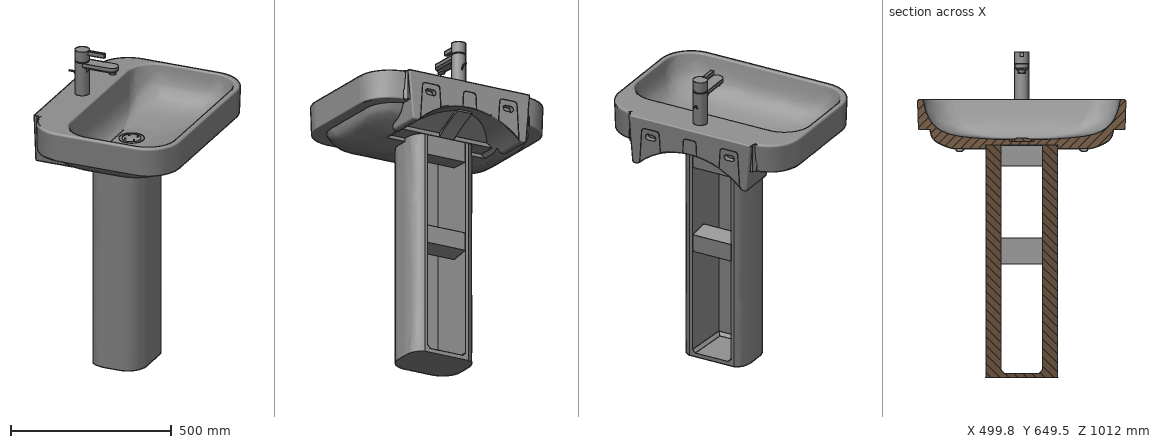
import cadquery as cq
import math


RIM_TOP = 864.0
RIM_BOTTOM = 770.0
RIM_BACK = 18.0
RIM_FRONT = 500.0
RIM_HALF_WIDTH = 325.0
RIM_CORNER_RADIUS = 109.0
RIM_DRAFT_ANGLE = 2
RIM_EDGE_FILLET = 7.0
RIM_UNDERSIDE_FILLET = 4.0

BLOCK_DEPTH = 121
BLOCK_BOTTOM = 702.0
BLOCK_TOP_HALF_WIDTH = 219.0
BLOCK_FOOT_OUTER = 204.0
BLOCK_FOOT_INNER = 186.0
BLOCK_FOOT_FILLET = 8.0
BLOCK_WALL_EDGE_FILLET = 4.0
COVE_BACK = 11.0
COVE_RADIUS = 10
ARCH_CROWN = 779
RIB_WIDTH = 53.0
RIB_CROWN = 773.0
RIB_START = 30
RIB_BEND_X = 71
RIB_BEND_Z = 758.0
RELIEF_START = 40
RELIEF_END_HEIGHT = 735.0

PANEL_DEPTH = 2.0
PANEL_TOP = 831.0
PANEL_CORNER_RADIUS = 10
SIDE_PANEL_TOP_SPAN = (109.0, 171.0)
SIDE_PANEL_FOOT_SPAN = (101, 179.0)
CENTER_PANEL_TOP_HALF_WIDTH = 22.0
CENTER_PANEL_FOOT_HALF_WIDTH = 28.0
SLOT_Y = 141.0
SLOT_Z = 804.0
SLOT_LENGTH = 36.0
SLOT_HEIGHT = 19.0
SLOT_DEPTH = 20

BOWL_OUTSIDE = [
    (RIM_BOTTOM, 48.0, 462.0, 285.0, 101),
    (743.0, 69.0, 443.0, 276.0, 101),
    (729, 89.0, 421.0, 259.0, 101),
    (717.0, 116.0, 364, 233, 91),
    (711.0, 142, 304, 202, 71),
]
BOWL_INSIDE = [
    (RIM_TOP, 128.0, 479.0, 306.0, 91),
    (800, 144.0, 454.0, 285.0, 91),
    (767.0, 158.0, 423.0, 253, 91),
    (751.0, 172, 381.0, 202, 81),
    (741.0, 187.0, 294, 81, 40),
]
BOWL_EDGE_FILLET = 6.0

DRAIN_X = 236.0
FLANGE_DIAMETER = 79.0
FLANGE_THICKNESS = 8.0
FLANGE_TOP = 742.0
PLUG_DIAMETER = 60.0
PLUG_DOME_HEIGHT = 4.0
PLUG_HOLE_DIAMETER = 4.0
PLUG_HOLE_PITCH = 29.0
PLUG_HOLE_DEPTH = 4.0

PEDESTAL_TOP = 722.0
PEDESTAL_BACK = 140.0
PEDESTAL_FRONT = 309.0
PEDESTAL_HALF_WIDTH = 112.0
SIDE_FLAT_BACK = 204.0
SIDE_FLAT_FRONT = 245.0
BACK_FACE_HALF_WIDTH = 79.0
BACK_EDGE_SLOPE = 0.3
CAVITY_BACK_HALF_WIDTH = 69.0
CAVITY_FRONT_HALF_WIDTH = 60.0
CAVITY_FRONT = 289.0
FLOOR_THICKNESS = 13.0
FLOOR_CHAMFER = 10
BRACE_SETBACK = 2.0
BRACE_DEPTH = 61
LOWER_BRACE_BACK_SPAN = (364, 422.0)
LOWER_BRACE_FRONT_SPAN = (352.0, 434.0)
TOP_BRACE_BOTTOM = 657.0

TAP_X = 68.0
TAP_DIAMETER = 46.0
TAP_BODY_TOP = 974.0
TAP_TOP = 1012
NECK_DIAMETER = 44.0
NECK_HEIGHT = 3.0
SPOUT_WIDTH = 40
SPOUT_END = 189.0
SPOUT_BOTTOM = 956.0
SPOUT_CHAMFER = 6.0
GUSSET_END = 101
GUSSET_FOOT = 89.0
GUSSET_BOTTOM = 944.0
GUSSET_WIDTH = 24.0
LEVER_WIDTH = 10
LEVER_END = 145.0
LEVER_BOTTOM = 997.0
LEVER_TOP = 1010.0
AERATOR_DIAMETER = 21.0
AERATOR_X = 171.0
AERATOR_BOTTOM = 948.0
AERATOR_LENGTH = 14.0
AERATOR_TILT = 8
ROD_DIAMETER = 4.0
ROD_END = 24.0
ROD_BEND = 39.0
ROD_Z = 933.0
ROD_DROP = 12.0
ROD_SOCKET_DEPTH = 4.0


def rounded_rectangle(z, back, front, half_width, radius):
    """Rounded rectangle in a level plane at height z."""
    sketch = cq.Sketch().rect(front - back, 2 * half_width).vertices().fillet(radius)
    place = cq.Location(cq.Vector((back + front) / 2, 0, z))
    return sketch.reset().moved(place)


def lofted_bowl(sections):
    """Smooth solid through rounded rectangles."""
    sketches = [rounded_rectangle(*section) for section in sections]
    return cq.Workplane("XY").placeSketch(*sketches).loft()


def cylinder(x, bottom, top, diameter):
    return cq.Workplane("XY", origin=(x, 0, bottom)).circle(diameter / 2).extrude(top - bottom)


def box_between(x0, x1, half_width, z0, z1):
    return (
        cq.Workplane("XY", origin=((x0 + x1) / 2, 0, z0))
        .rect(x1 - x0, 2 * half_width)
        .extrude(z1 - z0)
    )


def rim_slab():
    outline = rounded_rectangle(RIM_TOP, RIM_BACK, RIM_FRONT, RIM_HALF_WIDTH, RIM_CORNER_RADIUS)
    slab = (
        cq.Workplane("XY")
        .placeSketch(outline)
        .extrude(RIM_BOTTOM - RIM_TOP, taper=RIM_DRAFT_ANGLE)
    )
    return slab.edges(">Z").fillet(RIM_EDGE_FILLET).edges("<Z").fillet(RIM_UNDERSIDE_FILLET)


def wall_block():
    """Block against the wall, arched underneath so that it ends in two feet."""
    return (
        cq.Workplane("YZ")
        .moveTo(-BLOCK_TOP_HALF_WIDTH, RIM_TOP)
        .lineTo(BLOCK_TOP_HALF_WIDTH, RIM_TOP)
        .lineTo(BLOCK_FOOT_OUTER, BLOCK_BOTTOM)
        .lineTo(BLOCK_FOOT_INNER, BLOCK_BOTTOM)
        .threePointArc((0, ARCH_CROWN), (-BLOCK_FOOT_INNER, BLOCK_BOTTOM))
        .lineTo(-BLOCK_FOOT_OUTER, BLOCK_BOTTOM)
        .close()
        .extrude(BLOCK_DEPTH)
        .edges("|X and <Z")
        .fillet(BLOCK_FOOT_FILLET)
        .faces("<X")
        .edges()
        .fillet(BLOCK_WALL_EDGE_FILLET)
    )


def block_cove():
    """Concave quarter round in the corner between the block and the back of the rim, +Y side."""
    block_side = BLOCK_TOP_HALF_WIDTH
    cove_front = COVE_BACK + COVE_RADIUS
    buried_front = cove_front + COVE_RADIUS
    return (
        cq.Workplane("XY", origin=(0, 0, RIM_BOTTOM))
        .moveTo(COVE_BACK, block_side)
        .radiusArc((cove_front, block_side + COVE_RADIUS), -COVE_RADIUS)
        .lineTo(buried_front, block_side - COVE_RADIUS)
        .lineTo(COVE_BACK, block_side - COVE_RADIUS)
        .close()
        .extrude(RIM_TOP - RIM_BOTTOM)
    )


def arch_relief():
    """Space under the arch that trims the bowl along a slope and around the pedestal head."""
    arch = (
        cq.Workplane("YZ")
        .moveTo(BLOCK_FOOT_INNER, BLOCK_BOTTOM)
        .threePointArc((0, ARCH_CROWN), (-BLOCK_FOOT_INNER, BLOCK_BOTTOM))
        .close()
        .extrude(SIDE_FLAT_BACK)
    )
    slope = (
        cq.Workplane("XZ", origin=(0, BLOCK_FOOT_INNER, 0))
        .polyline([
            (0, BLOCK_BOTTOM),
            (0, ARCH_CROWN),
            (RELIEF_START, ARCH_CROWN),
            (PEDESTAL_BACK, RELIEF_END_HEIGHT),
            (PEDESTAL_BACK, PEDESTAL_TOP),
            (SIDE_FLAT_BACK, PEDESTAL_TOP),
            (SIDE_FLAT_BACK, BLOCK_BOTTOM),
        ])
        .close()
        .extrude(2 * BLOCK_FOOT_INNER)
    )
    return arch.intersect(slope)


def center_rib():
    """Sloping rib below the arch, from behind the wall face to the pedestal."""
    return (
        cq.Workplane("XZ", origin=(0, RIB_WIDTH / 2, 0))
        .moveTo(RIB_START, ARCH_CROWN)
        .lineTo(RIB_START, RIB_CROWN)
        .threePointArc((RIB_BEND_X, RIB_BEND_Z), (PEDESTAL_BACK, PEDESTAL_TOP))
        .lineTo(PEDESTAL_BACK, ARCH_CROWN)
        .close()
        .extrude(RIB_WIDTH)
    )


def wall_panel(top_span, foot_span):
    """Shallow recess with rounded top corners, running out through the arch."""
    return (
        cq.Workplane("YZ")
        .polyline([
            (foot_span[0], BLOCK_BOTTOM),
            (top_span[0], PANEL_TOP),
            (top_span[1], PANEL_TOP),
            (foot_span[1], BLOCK_BOTTOM),
        ])
        .close()
        .extrude(PANEL_DEPTH)
        .edges("|X and >Z")
        .fillet(PANEL_CORNER_RADIUS)
    )


def make_basin(column):
    cove = block_cove()
    basin = rim_slab().union(wall_block()).union(cove).union(cove.mirror("XZ"))
    basin = basin.union(lofted_bowl(BOWL_OUTSIDE)).cut(arch_relief()).union(center_rib())

    side_panel = wall_panel(SIDE_PANEL_TOP_SPAN, SIDE_PANEL_FOOT_SPAN)
    center_panel = wall_panel(
        (-CENTER_PANEL_TOP_HALF_WIDTH, CENTER_PANEL_TOP_HALF_WIDTH),
        (-CENTER_PANEL_FOOT_HALF_WIDTH, CENTER_PANEL_FOOT_HALF_WIDTH),
    )
    basin = basin.cut(side_panel).cut(side_panel.mirror("XZ")).cut(center_panel)
    slots = (
        cq.Workplane("YZ")
        .pushPoints([(-SLOT_Y, SLOT_Z), (SLOT_Y, SLOT_Z)])
        .slot2D(SLOT_LENGTH, SLOT_HEIGHT)
        .extrude(SLOT_DEPTH)
    )
    basin = basin.cut(slots)

    basin = basin.cut(lofted_bowl(BOWL_INSIDE))
    opening_z, opening_back, opening_front, opening_half_width, _ = BOWL_INSIDE[0]
    margin = BOWL_EDGE_FILLET / 2
    opening_edges = cq.selectors.BoxSelector(
        (opening_back - margin, -opening_half_width - margin, opening_z - margin),
        (opening_front + margin, opening_half_width + margin, opening_z + margin),
        boundingbox=True,
    )
    basin = basin.edges(opening_edges).fillet(BOWL_EDGE_FILLET)

    drain_seat = cylinder(DRAIN_X, FLANGE_TOP - FLANGE_THICKNESS, RIM_TOP, FLANGE_DIAMETER)
    return basin.cut(drain_seat).cut(column)


def make_drain_flange():
    bottom = FLANGE_TOP - FLANGE_THICKNESS
    hole = cylinder(DRAIN_X, bottom, FLANGE_TOP, PLUG_DIAMETER)
    return cylinder(DRAIN_X, bottom, FLANGE_TOP, FLANGE_DIAMETER).cut(hole)


def make_plug():
    """Round plug with a domed top and four small holes."""
    radius = PLUG_DIAMETER / 2
    dome_radius = (radius**2 + PLUG_DOME_HEIGHT**2) / (2 * PLUG_DOME_HEIGHT)
    half_angle = math.asin(radius / dome_radius) / 2
    crown = FLANGE_TOP + PLUG_DOME_HEIGHT
    middle = (
        dome_radius * math.sin(half_angle),
        crown - dome_radius * (1 - math.cos(half_angle)),
    )
    plug = (
        cq.Workplane("XZ", origin=(DRAIN_X, 0, 0))
        .moveTo(0, FLANGE_TOP - FLANGE_THICKNESS)
        .lineTo(radius, FLANGE_TOP - FLANGE_THICKNESS)
        .lineTo(radius, FLANGE_TOP)
        .threePointArc(middle, (0, crown))
        .close()
        .revolve(360, (0, 0, 0), (0, 1, 0))
    )
    holes = (
        cq.Workplane("XY", origin=(DRAIN_X, 0, crown))
        .rect(PLUG_HOLE_PITCH, PLUG_HOLE_PITCH, forConstruction=True)
        .vertices()
        .circle(PLUG_HOLE_DIAMETER / 2)
        .extrude(-PLUG_HOLE_DEPTH)
    )
    return plug.cut(holes)


def pedestal_column():
    """Solid column with the pedestal's outline; its rounded corners are tangent to the sides."""
    front_radius = PEDESTAL_FRONT - SIDE_FLAT_FRONT
    front_half_width = PEDESTAL_HALF_WIDTH - front_radius
    side = PEDESTAL_HALF_WIDTH
    return (
        cq.Workplane("XY")
        .moveTo(PEDESTAL_BACK, -BACK_FACE_HALF_WIDTH)
        .lineTo(PEDESTAL_BACK, BACK_FACE_HALF_WIDTH)
        .spline([(SIDE_FLAT_BACK, side)], tangents=[(BACK_EDGE_SLOPE, 1), (1, 0)], includeCurrent=True)
        .lineTo(SIDE_FLAT_FRONT, side)
        .tangentArcPoint((PEDESTAL_FRONT, front_half_width), relative=False)
        .lineTo(PEDESTAL_FRONT, -front_half_width)
        .tangentArcPoint((SIDE_FLAT_FRONT, -side), relative=False)
        .lineTo(SIDE_FLAT_BACK, -side)
        .spline(
            [(PEDESTAL_BACK, -BACK_FACE_HALF_WIDTH)],
            tangents=[(-1, 0), (-BACK_EDGE_SLOPE, 1)],
            includeCurrent=True,
        )
        .close()
        .extrude(PEDESTAL_TOP)
    )


def pedestal_cavity():
    """Channel open at the back and the top, narrowing towards the front."""
    return (
        cq.Workplane("XY", origin=(0, 0, FLOOR_THICKNESS))
        .polyline([
            (PEDESTAL_BACK, -CAVITY_BACK_HALF_WIDTH),
            (CAVITY_FRONT, -CAVITY_FRONT_HALF_WIDTH),
            (CAVITY_FRONT, CAVITY_FRONT_HALF_WIDTH),
            (PEDESTAL_BACK, CAVITY_BACK_HALF_WIDTH),
        ])
        .close()
        .extrude(PEDESTAL_TOP - FLOOR_THICKNESS)
        .edges("<Z and (not <X)")
        .chamfer(FLOOR_CHAMFER)
    )


def pedestal_braces():
    """Two cross braces between the side walls, set slightly in from the back face."""
    brace_back = PEDESTAL_BACK + BRACE_SETBACK
    brace_front = brace_back + BRACE_DEPTH
    half_width = CAVITY_BACK_HALF_WIDTH
    lower = (
        cq.Workplane("XZ", origin=(0, half_width, 0))
        .polyline([
            (brace_back, LOWER_BRACE_BACK_SPAN[0]),
            (brace_back, LOWER_BRACE_BACK_SPAN[1]),
            (brace_front, LOWER_BRACE_FRONT_SPAN[1]),
            (brace_front, LOWER_BRACE_FRONT_SPAN[0]),
        ])
        .close()
        .extrude(2 * half_width)
    )
    upper = box_between(brace_back, brace_front, half_width, TOP_BRACE_BOTTOM, PEDESTAL_TOP)
    return lower.union(upper)


def make_pedestal():
    return pedestal_column().cut(pedestal_cavity()).union(pedestal_braces())


def make_tap_body(aerator, rod):
    post = cylinder(TAP_X, RIM_TOP, TAP_BODY_TOP, TAP_DIAMETER)
    round_end = SPOUT_END - SPOUT_WIDTH / 2
    spout_height = TAP_BODY_TOP - SPOUT_BOTTOM
    spout = box_between(TAP_X, round_end, SPOUT_WIDTH / 2, SPOUT_BOTTOM, TAP_BODY_TOP)
    spout = spout.union(
        cq.Workplane("XY", origin=(round_end, 0, SPOUT_BOTTOM))
        .circle(SPOUT_WIDTH / 2)
        .extrude(spout_height)
    )
    spout = spout.faces("<Z").chamfer(SPOUT_CHAMFER)
    gusset = (
        cq.Workplane("XZ", origin=(0, GUSSET_WIDTH / 2, 0))
        .polyline([
            (TAP_X, SPOUT_BOTTOM),
            (GUSSET_END, SPOUT_BOTTOM),
            (GUSSET_FOOT, GUSSET_BOTTOM),
            (TAP_X, GUSSET_BOTTOM),
        ])
        .close()
        .extrude(GUSSET_WIDTH)
    )
    return post.union(spout).union(gusset).cut(aerator).cut(rod)


def make_handle():
    cap_bottom = TAP_BODY_TOP + NECK_HEIGHT
    neck = cylinder(TAP_X, TAP_BODY_TOP, cap_bottom, NECK_DIAMETER)
    cap = cylinder(TAP_X, cap_bottom, TAP_TOP, TAP_DIAMETER)
    lever = box_between(TAP_X, LEVER_END, LEVER_WIDTH / 2, LEVER_BOTTOM, LEVER_TOP)
    return neck.union(cap).union(lever)


def make_aerator():
    """Short outlet cylinder, let into the underside of the spout at a slight tilt."""
    pivot = (AERATOR_X, 0, AERATOR_BOTTOM)
    upright = cylinder(AERATOR_X, AERATOR_BOTTOM, AERATOR_BOTTOM + AERATOR_LENGTH, AERATOR_DIAMETER)
    return upright.rotate(pivot, (AERATOR_X, 1, AERATOR_BOTTOM), AERATOR_TILT)


def make_lift_rod():
    """Thin rod that leaves the back of the tap upwards and bends level."""
    tap_back = TAP_X - TAP_DIAMETER / 2
    path = (
        cq.Workplane("XZ")
        .moveTo(ROD_END, ROD_Z)
        .lineTo(ROD_BEND, ROD_Z)
        .lineTo(tap_back + ROD_SOCKET_DEPTH, ROD_Z - ROD_DROP)
    )
    return (
        cq.Workplane("YZ", origin=(ROD_END, 0, ROD_Z))
        .circle(ROD_DIAMETER / 2)
        .sweep(path, transition="right")
    )


basin = make_basin(pedestal_column())
pedestal = make_pedestal()
drain_flange = make_drain_flange()
plug = make_plug()
aerator = make_aerator()
lift_rod = make_lift_rod()
tap_body = make_tap_body(aerator, lift_rod)
handle = make_handle()

bodies = [basin, pedestal, drain_flange, plug, tap_body, handle, aerator, lift_rod]
result = cq.Compound.makeCompound([body.solids().val() for body in bodies])